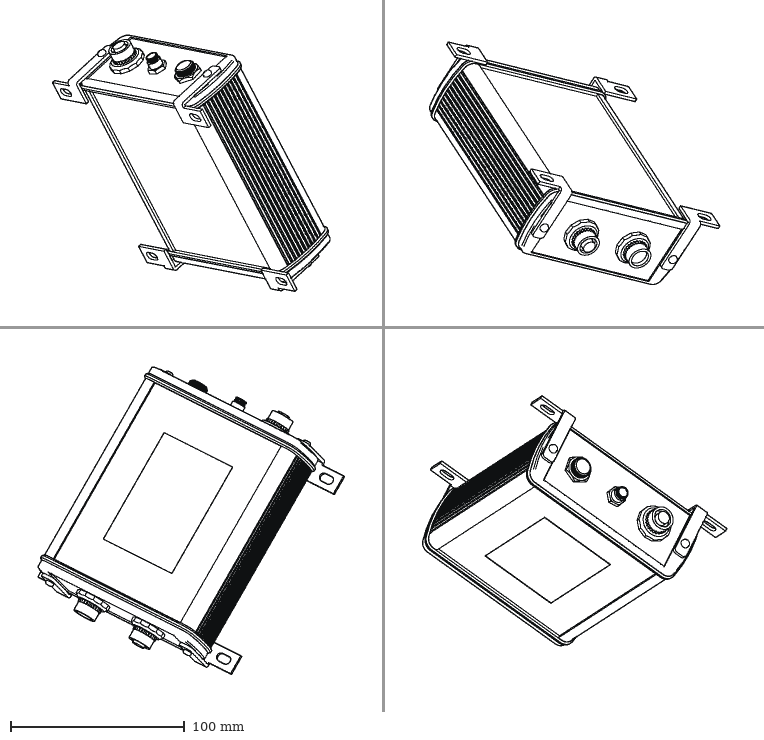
import cadquery as cq
import math


ROLL_DEGREES = 8.0
SWING = math.radians(30)
ROLL = math.radians(ROLL_DEGREES)

MID_Z = 27.0
HALF_HEIGHT = 21.3
HALF_WIDTH = 54.2
SIDE_RADIUS = 75.0
CORNER_RADIUS = 5.7
TUBE_HALF_LENGTH = 59.5
PANEL_HALF_WIDTH = 44.5
LID_SINK = 1.5
BASE_SINK = 1.7
LABEL_WIDTH = 48.0
LABEL_LENGTH = 71.0
LABEL_RISE = 0.3

GROOVE_COUNT = 11
GROOVE_PITCH = 2.8
GROOVE_WIDTH = 1.1
GROOVE_DEPTH = 0.8

FLANGE_START = 58.9
FLANGE_LENGTH = 3.4
FLANGE_OVERHANG = 1.2
FLANGE_CHAMFER = 1.0
CAP_END = 67.0
CAP_EDGE_RADIUS = 0.9
RECESS_HALF_WIDTH = 44.0
RECESS_HALF_HEIGHT = 19.4
RECESS_DEPTH = 1.0
END_FACE = CAP_END - RECESS_DEPTH

SHEET = 2.0
BEND_RADIUS = 2.0
BRACKET_INNER_X = 44.2
UPRIGHT_WIDTH = 8.0
UPRIGHT_TOP = 34.8
UPRIGHT_CORNER = 2.0
FOOT_TIP_X = 67.5
FOOT_INNER_Y = 54.0
FOOT_OUTER_Y = 66.0
SLOT_X = 59.0
SLOT_LENGTH = 9.0
SLOT_WIDTH = 5.0
BRACKET_OUTER_Y = CAP_END + SHEET

SCREW_HEAD_DIAMETER = 5.0
SCREW_HEAD_HEIGHT = 2.0
SCREW_HEAD_RADIUS = 1.3

CONNECTOR_TWIST = ROLL_DEGREES
REAR_ROUND_X = -26.8
REAR_COAX_X = 0.8
REAR_VENT_X = 28.4
FRONT_ROUND_X = 19.3
HEX = 6

ROUND_NUT_SIDES = 12
ROUND_NUT_WIDTH = 20.3
ROUND_NUT_HEIGHT = 4.0
ROUND_NUT_CHAMFER = 1.8
ROUND_RING_DIAMETER = 14.6
ROUND_RING_TOP = 6.0
ROUND_TOOTH_DEPTH = 0.8
ROUND_TEETH = 24
ROUND_SHELL_DIAMETER = 13.7
ROUND_SHELL_TOP = 11.5
ROUND_BORE_DIAMETER = 10.5
ROUND_BORE_DEPTH = 2.5
ROUND_INSERT_DIAMETER = 7.3
ROUND_INSERT_TOP = 12.8

COAX_NUT_WIDTH = 10.0
COAX_NUT_HEIGHT = 2.5
COAX_NUT_CHAMFER = 0.5
COAX_BARREL_DIAMETER = 8.0
COAX_BARREL_TOP = 6.3
COAX_CORE_DIAMETER = 5.6
COAX_TOP = 9.3
COAX_RING_DIAMETER = 6.8
COAX_RING_HEIGHT = 0.7
COAX_RING_BOTTOMS = (7.0, 8.5)

VENT_NUT_WIDTH = 14.4
VENT_NUT_HEIGHT = 2.5
VENT_NUT_CHAMFER = 1.2
VENT_CORE_DIAMETER = 10.4
VENT_TOP = 6.8
VENT_TOP_CHAMFER = 0.7
VENT_RING_DIAMETER = 11.6
VENT_RING_COUNT = 4
VENT_RING_PITCH = 0.8
VENT_FIRST_RING = 2.7


def housing_outline(offset, start_y, length):
    """Rounded prism of the housing section, grown by offset, running from start_y."""
    half_height = HALF_HEIGHT + offset
    side_radius = SIDE_RADIUS + offset
    bulge_x = HALF_WIDTH + offset
    corner_x = bulge_x - side_radius + math.sqrt(side_radius**2 - half_height**2)
    return (
        cq.Workplane("XZ", origin=(0, start_y, MID_Z))
        .moveTo(-corner_x, -half_height)
        .lineTo(corner_x, -half_height)
        .threePointArc((bulge_x, 0), (corner_x, half_height))
        .lineTo(-corner_x, half_height)
        .threePointArc((-bulge_x, 0), (-corner_x, -half_height))
        .close()
        .extrude(-length)
        .edges("|Y")
        .fillet(CORNER_RADIUS + offset)
    )


def side_groove(side, index):
    """One radial groove in the bulged side, side being +1 or -1 along x."""
    height = (index - (GROOVE_COUNT - 1) / 2) * GROOVE_PITCH
    tilt = math.degrees(math.asin(height / SIDE_RADIUS))
    return (
        cq.Workplane("XY")
        .box(2 * GROOVE_DEPTH, 2 * TUBE_HALF_LENGTH, GROOVE_WIDTH)
        .translate((SIDE_RADIUS, 0, 0))
        .rotate((0, 0, 0), (0, 1, 0), -tilt)
        .translate((HALF_WIDTH - SIDE_RADIUS, 0, MID_Z))
        .rotate((0, 0, 0), (0, 0, 1), 0 if side > 0 else 180)
    )


def sunk_field(width, length, depth, surface_z):
    """Cutter that sinks a centred rectangle of the lid or base by depth."""
    return cq.Workplane("XY").box(width, length, 2 * depth).translate((0, 0, surface_z))


def make_tube():
    """Extruded body with ribbed sides, a sunk base, and a raised label plate on the sunk lid."""
    tube = housing_outline(0, -TUBE_HALF_LENGTH, 2 * TUBE_HALF_LENGTH)
    for side in (-1, 1):
        for index in range(GROOVE_COUNT):
            tube = tube.cut(side_groove(side, index))
    panel_width = 2 * PANEL_HALF_WIDTH
    panel_length = 2 * TUBE_HALF_LENGTH
    tube = tube.cut(sunk_field(panel_width, panel_length, BASE_SINK, MID_Z - HALF_HEIGHT))
    lid_z = MID_Z + HALF_HEIGHT
    tube = tube.cut(sunk_field(panel_width, panel_length, LID_SINK, lid_z))
    label = cq.Workplane("XY").box(LABEL_WIDTH, LABEL_LENGTH, 2 * LABEL_RISE)
    return tube.union(label.translate((0, 0, lid_z - LID_SINK)))


def make_cap():
    """End cap at the +y end: chamfered flange, rounded body and recessed end face."""
    flange = housing_outline(FLANGE_OVERHANG, FLANGE_START, FLANGE_LENGTH)
    flange = flange.faces("<Y or >Y").edges().chamfer(FLANGE_CHAMFER)
    body = housing_outline(0, FLANGE_START, CAP_END - FLANGE_START)
    body = body.faces(">Y").edges().fillet(CAP_EDGE_RADIUS)
    recess = cq.Workplane("XY").box(2 * RECESS_HALF_WIDTH, 2 * RECESS_DEPTH, 2 * RECESS_HALF_HEIGHT)
    return body.union(flange).cut(recess.translate((0, CAP_END, MID_Z)))


def make_bracket():
    """Bracket at the +x, +y corner: upright, bent foot and slotted tab."""
    angle = (
        cq.Workplane("YZ", origin=(BRACKET_INNER_X, 0, 0))
        .moveTo(FOOT_INNER_Y, 0)
        .lineTo(BRACKET_OUTER_Y - BEND_RADIUS, 0)
        .radiusArc((BRACKET_OUTER_Y, BEND_RADIUS), -BEND_RADIUS)
        .lineTo(BRACKET_OUTER_Y, UPRIGHT_TOP)
        .lineTo(CAP_END, UPRIGHT_TOP)
        .lineTo(CAP_END, SHEET)
        .lineTo(FOOT_INNER_Y, SHEET)
        .close()
        .extrude(UPRIGHT_WIDTH)
        .edges("|Y and >Z")
        .fillet(UPRIGHT_CORNER)
    )
    tab = cq.Workplane("XY").box(
        FOOT_TIP_X - BRACKET_INNER_X, FOOT_OUTER_Y - FOOT_INNER_Y, SHEET, centered=False
    )
    tab = tab.translate((BRACKET_INNER_X, FOOT_INNER_Y, 0))
    slot = (
        cq.Workplane("XY", origin=(SLOT_X, (FOOT_INNER_Y + FOOT_OUTER_Y) / 2, 0))
        .slot2D(SLOT_LENGTH, SLOT_WIDTH)
        .extrude(SHEET)
    )
    return angle.union(tab).cut(slot)


def make_screw():
    """Domed screw head on the bracket at the +x, +y corner."""
    head = cylinder(SCREW_HEAD_DIAMETER, 0, SCREW_HEAD_HEIGHT)
    head = head.faces(">Z").edges().fillet(SCREW_HEAD_RADIUS)
    return stand_on_end(head, BRACKET_INNER_X + UPRIGHT_WIDTH / 2, 1, BRACKET_OUTER_Y)


def cylinder(diameter, bottom, top):
    return cq.Workplane("XY", origin=(0, 0, bottom)).circle(diameter / 2).extrude(top - bottom)


def nut(sides, across_flats, height, chamfer, turn=0):
    """Polygonal nut on z = 0 whose top corners are turned down."""
    across_corners = across_flats / math.cos(math.pi / sides)
    prism = cq.Workplane("XY").polygon(sides, across_corners).extrude(height)
    prism = prism.rotate((0, 0, 0), (0, 0, 1), turn)
    turned = cylinder(across_corners, 0, height).faces(">Z").edges().chamfer(chamfer)
    return prism.intersect(turned)


def toothed_ring(diameter, tooth_depth, teeth, bottom, top):
    """Ring of pointed teeth, given its tip diameter."""
    points = []
    for step in range(2 * teeth):
        radius = diameter / 2 - tooth_depth * (step % 2)
        angle = math.pi * step / teeth
        points.append((radius * math.cos(angle), radius * math.sin(angle)))
    return cq.Workplane("XY", origin=(0, 0, bottom)).polyline(points).close().extrude(top - bottom)


def stand_on_end(shape, x, end, y):
    """Turn a shape built up along z to point out of the end (+1 or -1) and set it at x, y."""
    return shape.rotate((0, 0, 0), (1, 0, 0), -90 * end).translate((x, end * y, MID_Z))


def round_connector(insert):
    """Large round connector, open or with a protruding insert."""
    flats_turn = 180 / ROUND_NUT_SIDES
    body = nut(ROUND_NUT_SIDES, ROUND_NUT_WIDTH, ROUND_NUT_HEIGHT, ROUND_NUT_CHAMFER, flats_turn)
    ring = toothed_ring(
        ROUND_RING_DIAMETER, ROUND_TOOTH_DEPTH, ROUND_TEETH, ROUND_NUT_HEIGHT, ROUND_RING_TOP
    )
    shell = cylinder(ROUND_SHELL_DIAMETER, ROUND_RING_TOP, ROUND_SHELL_TOP)
    bore = cylinder(ROUND_BORE_DIAMETER, ROUND_SHELL_TOP - ROUND_BORE_DEPTH, ROUND_SHELL_TOP)
    body = body.union(ring).union(shell).cut(bore)
    if insert:
        pin_block = cylinder(ROUND_INSERT_DIAMETER, ROUND_NUT_HEIGHT, ROUND_INSERT_TOP)
        body = body.union(pin_block)
    return body


def coax_connector():
    """Small threaded connector on a hexagonal base."""
    body = nut(HEX, COAX_NUT_WIDTH, COAX_NUT_HEIGHT, COAX_NUT_CHAMFER)
    body = body.union(cylinder(COAX_BARREL_DIAMETER, 0, COAX_BARREL_TOP))
    body = body.union(cylinder(COAX_CORE_DIAMETER, 0, COAX_TOP))
    for ring_bottom in COAX_RING_BOTTOMS:
        ring = cylinder(COAX_RING_DIAMETER, ring_bottom, ring_bottom + COAX_RING_HEIGHT)
        body = body.union(ring)
    return body


def vent_plug():
    """Hexagonal base under a finely ringed cap."""
    body = nut(HEX, VENT_NUT_WIDTH, VENT_NUT_HEIGHT, VENT_NUT_CHAMFER, turn=180 / HEX)
    core = cylinder(VENT_CORE_DIAMETER, 0, VENT_TOP).faces(">Z").edges().chamfer(VENT_TOP_CHAMFER)
    body = body.union(core)
    for ring in range(VENT_RING_COUNT):
        bottom = VENT_FIRST_RING + ring * VENT_RING_PITCH
        body = body.union(cylinder(VENT_RING_DIAMETER, bottom, bottom + VENT_RING_PITCH / 2))
    return body


enclosure = make_tube()
end_cap = make_cap()
corner_fittings = make_bracket().union(make_screw())
end_fittings = corner_fittings.union(corner_fittings.mirror("YZ")).union(end_cap)
enclosure = enclosure.union(end_fittings).union(end_fittings.mirror("XZ"))
for connector, x, end in (
    (round_connector(True), REAR_ROUND_X, -1),
    (coax_connector(), REAR_COAX_X, -1),
    (vent_plug(), REAR_VENT_X, -1),
    (round_connector(True), -FRONT_ROUND_X, 1),
    (round_connector(False), FRONT_ROUND_X, 1),
):
    twisted = connector.rotate((0, 0, 0), (0, 0, 1), -end * CONNECTOR_TWIST)
    enclosure = enclosure.union(stand_on_end(twisted, x, end, END_FACE))

width_direction = cq.Vector(
    math.cos(ROLL) * math.cos(SWING), -math.sin(ROLL), math.cos(ROLL) * math.sin(SWING)
)
lid_direction = cq.Vector(
    math.sin(ROLL) * math.cos(SWING), math.cos(ROLL), math.sin(ROLL) * math.sin(SWING)
)
attitude = cq.Plane(origin=(0, 0, 0), xDir=width_direction, normal=lid_direction)
result = cq.Workplane("XY").newObject([enclosure.val().moved(cq.Location(attitude))])